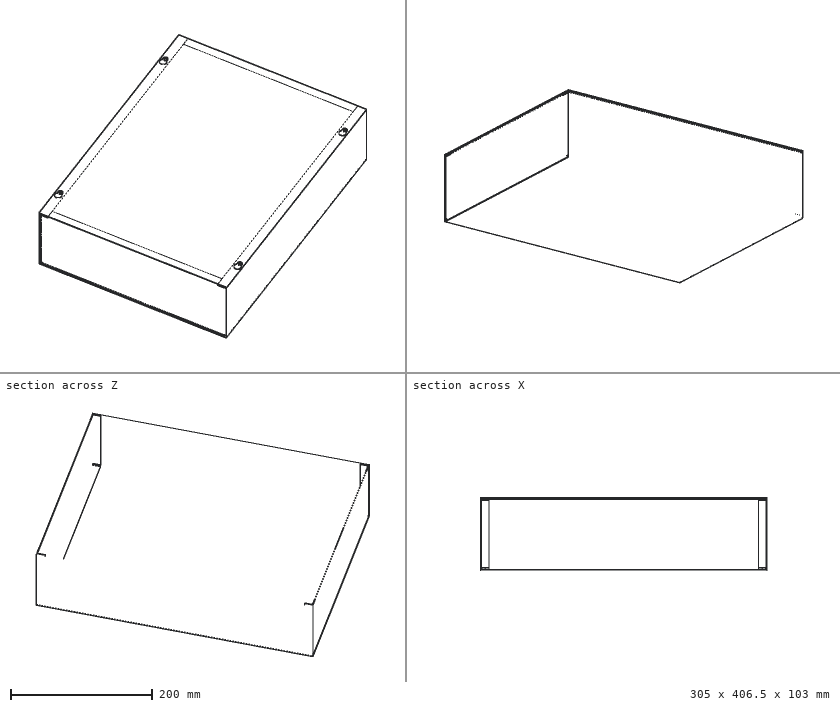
import cadquery as cq
import math

WIDTH = 305.0
LENGTH = 406.5
BOX_HEIGHT = 101.5
SHEET = 1.5
BEND_INNER = 0.77
PANEL_CLEARANCE = 0.5
RIM_WIDTH = 14.5
PANEL_FLANGE = 12.5

KEYHOLE_EDGE = 7.0
KEYHOLE_SPACING = 305.0
KEYHOLE_SHIFT = -7.0
KEYHOLE_RADIUS = 5.3
NECK_RADIUS = 3.5
NECK_OFFSET = 6.5
SCREW_HOLE_RADIUS = 2.0

HALF_WIDTH = WIDTH / 2
HALF_LENGTH = LENGTH / 2
BEND_OUTER = BEND_INNER + SHEET
RIM_INNER_X = HALF_WIDTH - RIM_WIDTH
FACE_HALF_WIDTH = HALF_WIDTH - SHEET - PANEL_CLEARANCE - BEND_OUTER
FACE_BOTTOM = SHEET + PANEL_CLEARANCE + BEND_OUTER
FACE_TOP = BOX_HEIGHT - BEND_OUTER
KEYHOLES = [
    (side * (HALF_WIDTH - KEYHOLE_EDGE), KEYHOLE_SHIFT + end * KEYHOLE_SPACING / 2)
    for side in (-1, 1)
    for end in (-1, 1)
]
SCREW_HOLES = [(x, y + NECK_OFFSET) for x, y in KEYHOLES]


def make_wrapper():
    """Floor, two side walls and two inward rims, bent from one sheet."""
    outside = (
        cq.Workplane("XZ")
        .rect(WIDTH, BOX_HEIGHT)
        .extrude(HALF_LENGTH, both=True)
        .edges("|Y")
        .fillet(BEND_OUTER)
    )
    inside = (
        cq.Workplane("XZ")
        .rect(WIDTH - 2 * SHEET, BOX_HEIGHT - 2 * SHEET)
        .extrude(HALF_LENGTH, both=True)
        .edges("|Y")
        .fillet(BEND_INNER)
    )
    mouth = cq.Workplane("XY").box(
        2 * RIM_INNER_X, LENGTH, BOX_HEIGHT / 2, centered=(True, True, False)
    )
    screw_holes = (
        cq.Workplane("XY")
        .pushPoints(SCREW_HOLES)
        .circle(SCREW_HOLE_RADIUS)
        .extrude(BOX_HEIGHT / 2)
    )
    wrapper = outside.cut(inside).cut(mouth).cut(screw_holes)
    return wrapper.translate((0, 0, BOX_HEIGHT / 2))


def make_bent_flange(length):
    """Bend and flange that continue a panel face in the XZ plane at Y = 0.

    The bend starts at X = 0 and turns the sheet towards +Y; Z runs along the bend, centred.
    """
    diagonal = math.sqrt(0.5)
    outer_mid = (BEND_OUTER * diagonal, BEND_OUTER * (1 - diagonal))
    inner_mid = (BEND_INNER * diagonal, BEND_OUTER - BEND_INNER * diagonal)
    return (
        cq.Workplane("XY")
        .moveTo(0, 0)
        .threePointArc(outer_mid, (BEND_OUTER, BEND_OUTER))
        .lineTo(BEND_OUTER, PANEL_FLANGE)
        .lineTo(BEND_INNER, PANEL_FLANGE)
        .lineTo(BEND_INNER, BEND_OUTER)
        .threePointArc(inner_mid, (0, SHEET))
        .close()
        .extrude(length / 2, both=True)
    )


def make_end_panel():
    """Panel for the -Y end, with four flanges turned inwards and open corners."""
    face_height = FACE_TOP - FACE_BOTTOM
    face_middle = (FACE_TOP + FACE_BOTTOM) / 2
    panel = cq.Workplane("XY").box(
        2 * FACE_HALF_WIDTH, SHEET, face_height, centered=(True, False, True)
    )
    flanges = [
        (0, FACE_HALF_WIDTH, face_height),
        (180, FACE_HALF_WIDTH, face_height),
        (90, face_height / 2, 2 * FACE_HALF_WIDTH),
        (-90, face_height / 2, 2 * RIM_INNER_X),
    ]
    for turn, reach, length in flanges:
        flange = make_bent_flange(length).translate((reach, 0, 0))
        panel = panel.union(flange.rotate((0, 0, 0), (0, 1, 0), turn))
    return panel.translate((0, -HALF_LENGTH, face_middle))


def make_cover():
    """Flat cover on the rims, with four keyholes above the screw holes."""
    cover = cq.Workplane("XY").box(WIDTH, LENGTH, SHEET, centered=(True, True, False))
    wide_ends = cq.Workplane("XY").pushPoints(KEYHOLES).circle(KEYHOLE_RADIUS).extrude(SHEET)
    narrow_ends = cq.Workplane("XY").pushPoints(SCREW_HOLES).circle(NECK_RADIUS).extrude(SHEET)
    necks = (
        cq.Workplane("XY")
        .pushPoints([(x, y + NECK_OFFSET / 2) for x, y in KEYHOLES])
        .rect(2 * NECK_RADIUS, NECK_OFFSET)
        .extrude(SHEET)
    )
    cover = cover.cut(wide_ends).cut(narrow_ends).cut(necks)
    return cover.translate((0, 0, BOX_HEIGHT))


wrapper = make_wrapper()
cover = make_cover()
end_panels = [make_end_panel().rotate((0, 0, 0), (0, 0, 1), turn) for turn in (0, 180)]

result = cq.Compound.makeCompound(
    [wrapper.val(), cover.val(), *[panel.val() for panel in end_panels]]
)